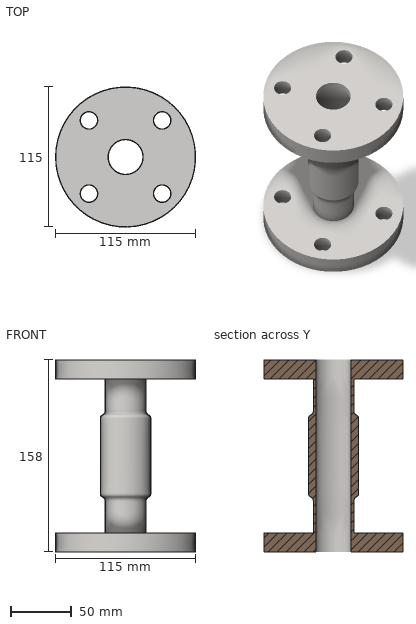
import cadquery as cq
import math

total_height = 158.0
flange_diameter = 115.0
flange_thickness = 16.0
pipe_diameter = 33.7
sleeve_diameter = 41.5
sleeve_straight_length = 61.6
shoulder_length = 6.0
bore_diameter = 28.5
bolt_circle_diameter = 85.0
bolt_hole_diameter = 14.0
bolt_count = 4

half_height = total_height / 2
flange_inner_face = half_height - flange_thickness
flange_radius = flange_diameter / 2
pipe_radius = pipe_diameter / 2
sleeve_radius = sleeve_diameter / 2
bore_radius = bore_diameter / 2
sleeve_end = sleeve_straight_length / 2

shoulder_step = sleeve_radius - pipe_radius
arc_angle = 2 * math.atan(shoulder_step / shoulder_length)
arc_radius = shoulder_length / 2 / math.sin(arc_angle)
arc_mid_rise = arc_radius * math.sin(arc_angle / 2)
arc_mid_inset = arc_radius * (1 - math.cos(arc_angle / 2))
shoulder_mid_radius = (sleeve_radius + pipe_radius) / 2
shoulder_mid_height = sleeve_end + shoulder_length / 2
shoulder_end = sleeve_end + shoulder_length


def make_body():
    """Revolve the hollow half section on the -X side about the Z axis."""
    return (
        cq.Workplane("XZ")
        .moveTo(-bore_radius, -half_height)
        .lineTo(-flange_radius, -half_height)
        .lineTo(-flange_radius, -flange_inner_face)
        .lineTo(-pipe_radius, -flange_inner_face)
        .lineTo(-pipe_radius, -shoulder_end)
        .threePointArc(
            (-pipe_radius - arc_mid_inset, -shoulder_end + arc_mid_rise),
            (-shoulder_mid_radius, -shoulder_mid_height),
        )
        .threePointArc(
            (-sleeve_radius + arc_mid_inset, -sleeve_end - arc_mid_rise),
            (-sleeve_radius, -sleeve_end),
        )
        .lineTo(-sleeve_radius, sleeve_end)
        .threePointArc(
            (-sleeve_radius + arc_mid_inset, sleeve_end + arc_mid_rise),
            (-shoulder_mid_radius, shoulder_mid_height),
        )
        .threePointArc(
            (-pipe_radius - arc_mid_inset, shoulder_end - arc_mid_rise),
            (-pipe_radius, shoulder_end),
        )
        .lineTo(-pipe_radius, flange_inner_face)
        .lineTo(-flange_radius, flange_inner_face)
        .lineTo(-flange_radius, half_height)
        .lineTo(-bore_radius, half_height)
        .close()
        .revolve(360, (0, 0, 0), (0, 1, 0))
    )


def make_bolt_holes():
    """Cylinders through both flanges, placed midway between the X and Y axes."""
    first_angle = 180 / bolt_count
    return (
        cq.Workplane("XY")
        .workplane(offset=-half_height)
        .polarArray(bolt_circle_diameter / 2, first_angle, 360, bolt_count)
        .circle(bolt_hole_diameter / 2)
        .extrude(total_height)
    )


result = make_body().cut(make_bolt_holes())